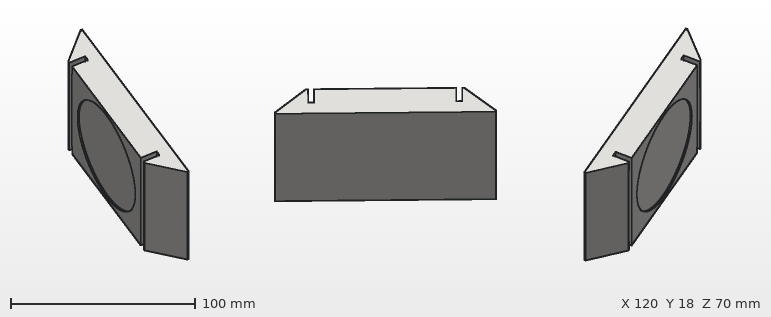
import cadquery as cq

WIDTH = 120.0
DEPTH = 18.0
HEIGHT = 70.0
BACK_EDGE = 1.0
SLOPE_RUN = DEPTH - BACK_EDGE

SLOT_WIDTH = 3.1
SLOT_DEPTH = 9.8
SLOT_OUTER_X = 41.8
SLOT_BOW = 0.2

RECESS_DIAMETER = 65.0
RECESS_DEPTH = 1.0

FRONT_Y = -DEPTH / 2
BACK_Y = DEPTH / 2


def make_body():
    """Trapezoidal bar, symmetric about X = 0 and wider at the back."""
    half_width = WIDTH / 2
    front_half = half_width - SLOPE_RUN
    slope_start_y = BACK_Y - BACK_EDGE
    outline = [
        (-half_width, BACK_Y),
        (-half_width, slope_start_y),
        (-front_half, FRONT_Y),
        (front_half, FRONT_Y),
        (half_width, slope_start_y),
        (half_width, BACK_Y),
    ]
    return cq.Workplane("XY").polyline(outline).close().extrude(HEIGHT / 2, both=True)


def make_slot(side):
    """Cutter for one slot; side is -1 for the -X slot and 1 for the +X slot."""
    outer_x = side * SLOT_OUTER_X
    inner_x = side * (SLOT_OUTER_X - SLOT_WIDTH)
    bow = side * SLOT_BOW
    half_height = HEIGHT / 2
    return (
        cq.Workplane("XZ", origin=(0, FRONT_Y, 0))
        .moveTo(outer_x, -half_height)
        .threePointArc((outer_x + bow, 0), (outer_x, half_height))
        .lineTo(inner_x, half_height)
        .threePointArc((inner_x + bow, 0), (inner_x, -half_height))
        .close()
        .extrude(-SLOT_DEPTH)
    )


def make_recess():
    """Cutter for the round recess centred on the front face."""
    front_plane = cq.Workplane("XZ", origin=(0, FRONT_Y, 0))
    return front_plane.circle(RECESS_DIAMETER / 2).extrude(-RECESS_DEPTH)


result = make_body().cut(make_recess())
for slot_side in (-1, 1):
    result = result.cut(make_slot(slot_side))